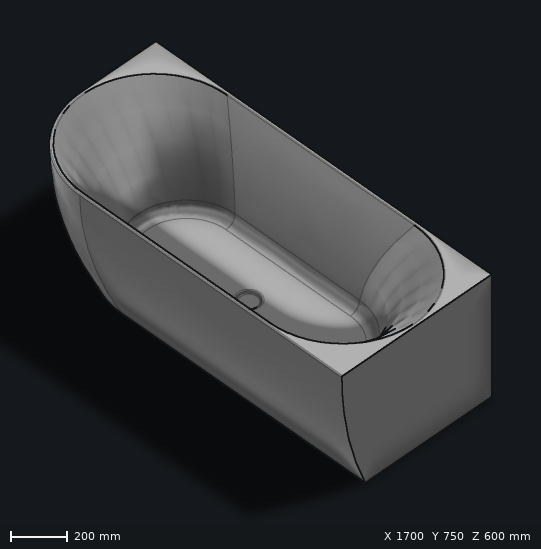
import cadquery as cq
import math

length = 1700.0
width = 750.0
height = 600.0

corner_radius_top = width / 2
corner_radius_bottom = 350.0
wall_inset_bottom = 118.0
outer_rim_fillet = 5.0

rim_margin = 14.0
rim_length = length - 2 * rim_margin
rim_width = width - 2 * rim_margin
foot_length = 1114.0
foot_width = 486.0
floor_blend = 46.0
floor_height = 155.0
foot_height = floor_height + floor_blend
wall_bulge = 0.66
basin_rim_fillet = 5.0

drain_top_diameter = 100.0
drain_bottom_diameter = 84.0
drain_depth = 10.0
drain_lip_fillet = 8.0
drain_bottom_fillet = 6.0

select_gap = 1.0
section_count = 5
centre_x = length / 2
centre_y = width / 2
fractions = [i / (section_count - 1) for i in range(section_count)]


def outer_section(z):
    """Rectangle with a rounded left front corner, stepped in by a circular wall profile."""
    profile_radius = (height**2 + wall_inset_bottom**2) / (2 * wall_inset_bottom)
    inset = profile_radius - math.sqrt(profile_radius**2 - (height - z) ** 2)
    taper = (corner_radius_top - corner_radius_bottom) / wall_inset_bottom
    radius = corner_radius_top - taper * inset
    arc_end = inset + radius
    arc_middle = arc_end - radius * math.sqrt(0.5)
    return (
        cq.Workplane("XY", origin=(0, 0, z))
        .moveTo(length, width)
        .lineTo(inset, width)
        .lineTo(inset, arc_end)
        .threePointArc((arc_middle, arc_middle), (arc_end, inset))
        .lineTo(length, inset)
        .close()
        .val()
    )


def stadium(z, outline_length, outline_width):
    """Stadium outline centred on the tub."""
    return (
        cq.Workplane("XY", origin=(centre_x, centre_y, z))
        .slot2D(outline_length, outline_width)
        .val()
    )


def make_body():
    """Solid outer block with a softened edge above the curved walls."""
    body = cq.Workplane(cq.Solid.makeLoft([outer_section(height * t) for t in fractions]))
    curved_side = cq.selectors.BoxSelector(
        (-select_gap, -select_gap, height - select_gap),
        (length - select_gap, width - select_gap, height + select_gap),
    )
    return body.faces(">Z").edges(curved_side).fillet(outer_rim_fillet)


def make_basin_wall():
    """Sloping basin volume, whose bulging wall gets steeper towards its foot."""
    outlines = []
    for drop in fractions:
        inset = drop * (1 + wall_bulge * (1 - drop))
        outlines.append(
            stadium(
                height + (foot_height - height) * drop,
                rim_length + (foot_length - rim_length) * inset,
                rim_width + (foot_width - rim_width) * inset,
            )
        )
    return cq.Workplane(cq.Solid.makeLoft(outlines))


def make_floor_blend():
    """Quarter-round volume joining the foot of the wall to the flat floor."""
    outlines = []
    for turn in fractions:
        angle = turn * math.pi / 2
        inset = floor_blend * (1 - math.cos(angle))
        z = foot_height - floor_blend * math.sin(angle)
        outlines.append(stadium(z, foot_length - 2 * inset, foot_width - 2 * inset))
    return cq.Workplane(cq.Solid.makeLoft(outlines))


def drain_edge_selector(z):
    """Selector for the circular drain edge at height z."""
    reach = drain_top_diameter / 2 + select_gap
    return cq.selectors.BoxSelector(
        (centre_x - reach, centre_y - reach, z - select_gap),
        (centre_x + reach, centre_y + reach, z + select_gap),
        boundingbox=True,
    )


def cut_drain(tub):
    """Cut a tapered drain recess in the middle of the floor and round its two edges."""
    drain = (
        cq.Workplane("XY", origin=(centre_x, centre_y, floor_height))
        .circle(drain_top_diameter / 2)
        .workplane(offset=-drain_depth)
        .circle(drain_bottom_diameter / 2)
        .loft()
    )
    tub = tub.cut(drain)
    lip = drain_edge_selector(floor_height)
    bottom = drain_edge_selector(floor_height - drain_depth)
    return tub.edges(lip).fillet(drain_lip_fillet).edges(bottom).fillet(drain_bottom_fillet)


def soften_basin_rim(tub):
    """Round the edge where the basin wall meets the flat rim."""
    margin = rim_margin / 2
    inner_side = cq.selectors.BoxSelector(
        (margin, margin, height - select_gap),
        (length - margin, width - margin, height + select_gap),
        boundingbox=True,
    )
    return tub.faces(">Z").edges(inner_side).fillet(basin_rim_fillet)


tub = make_body().cut(make_basin_wall()).cut(make_floor_blend())
tub = soften_basin_rim(tub)
result = cut_drain(tub)